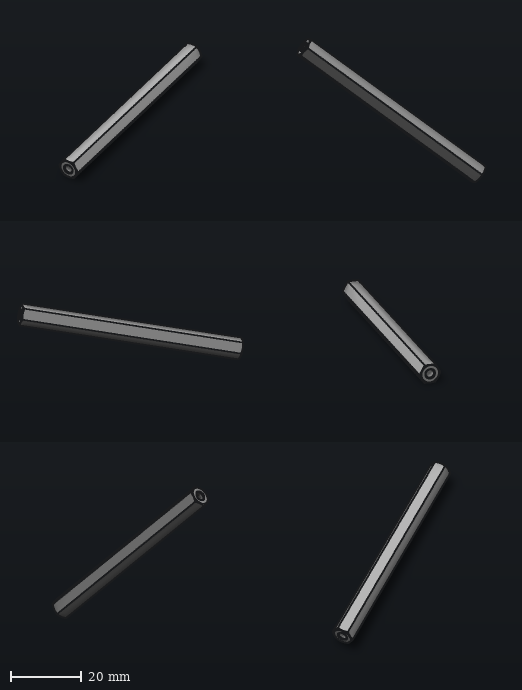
import cadquery as cq
import math

length = 65.0
across_corners = 6.4
end_face_diameter = 5.25
corner_chamfer_angle = 30.0

hole_diameter = 2.5
hole_mouth_diameter = 3.0
hole_depth = 10.0
drill_point_angle = 118.0

half_length = length / 2
corner_radius = across_corners / 2
end_face_radius = end_face_diameter / 2
hole_radius = hole_diameter / 2
mouth_radius = hole_mouth_diameter / 2
corner_chamfer_height = (corner_radius - end_face_radius) * math.tan(math.radians(corner_chamfer_angle))
mouth_chamfer_depth = mouth_radius - hole_radius
drill_point_height = hole_radius / math.tan(math.radians(drill_point_angle / 2))


def revolve_about_y(points):
    """Turn a closed outline of (radius, y) points around the Y axis."""
    return cq.Workplane("XY").polyline(points).close().revolve(360, (0, 0, 0), (0, 1, 0))


def hex_bar():
    """Hexagonal bar with corners on +X and -X."""
    return cq.Workplane("XZ").polygon(6, across_corners).extrude(half_length, both=True)


def chamfered_envelope():
    """Round bar with conical ends that trims the hexagon corners."""
    shoulder_y = half_length - corner_chamfer_height
    return revolve_about_y([
        (0, -half_length),
        (end_face_radius, -half_length),
        (corner_radius, -shoulder_y),
        (corner_radius, shoulder_y),
        (end_face_radius, half_length),
        (0, half_length),
    ])


def front_hole():
    """Drilled hole in the -Y end with a chamfered mouth and a conical bottom."""
    bottom_y = -half_length + hole_depth
    return revolve_about_y([
        (0, -half_length),
        (mouth_radius, -half_length),
        (hole_radius, -half_length + mouth_chamfer_depth),
        (hole_radius, bottom_y),
        (0, bottom_y + drill_point_height),
    ])


hole = front_hole()
result = hex_bar().intersect(chamfered_envelope()).cut(hole).cut(hole.mirror("XZ"))